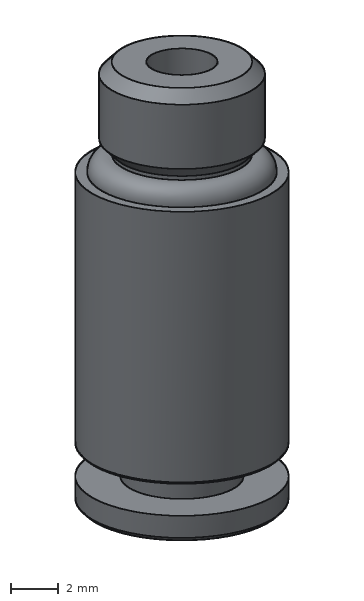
import cadquery as cq

total_height = 20.0
body_diameter = 9.0
bore_diameter = 3.0

flange_thickness = 1.2
flange_chamfer = 0.2
stem_diameter = 5.2

body_bottom = 2.6
body_top = 15.0
body_chamfer = 0.12

ring_diameter = 8.0
ring_height = 0.82

neck_diameter = 5.92
head_diameter = 7.0
head_chamfer = (head_diameter - neck_diameter) / 2
head_bottom = 16.0


def cylinder(diameter, bottom, top):
    """Vertical cylinder between two heights."""
    return cq.Workplane("XY").workplane(offset=bottom).circle(diameter / 2).extrude(top - bottom)


flange = cylinder(body_diameter, 0, flange_thickness).faces("<Z").edges().chamfer(flange_chamfer)
stem = cylinder(stem_diameter, 0, body_bottom)
body = cylinder(body_diameter, body_bottom, body_top).faces("<Z").edges().chamfer(body_chamfer)
neck = cylinder(neck_diameter, body_top, head_bottom)
head = cylinder(head_diameter, head_bottom, total_height).edges("%CIRCLE").chamfer(head_chamfer)

ring_radius = ring_diameter / 2
ring_top = body_top + ring_height
ring = (
    cq.Workplane("XZ")
    .moveTo(0, body_top)
    .lineTo(ring_radius, body_top)
    .radiusArc((ring_radius - ring_height, ring_top), -ring_height)
    .lineTo(0, ring_top)
    .close()
    .revolve(360, (0, 0, 0), (0, 1, 0))
)

bore = cylinder(bore_diameter, 0, total_height)

result = flange.union(stem).union(body).union(neck).union(ring).union(head).cut(bore)